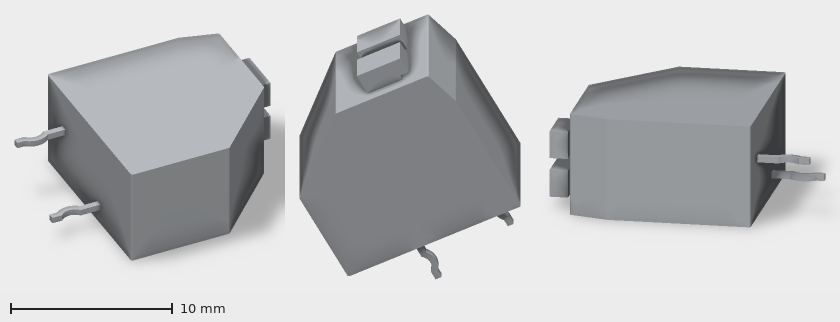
import cadquery as cq
import math

overall_length = 16.3

housing_width = 12.0
housing_depth = 11.49
housing_height = 6.5
left_bevel_x = 0.67
left_bevel_y = 2.48
right_bevel_x = 4.92
right_bevel_y = 4.76
corner_radius = 0.13

row_pitch = 2.5
button_left = 1.86
button_width = 3.0
button_length = 1.5
button_height = 1.73
button_undercut_width = 0.59
button_undercut_length = 0.35
lower_button_z = 1.6

pin_size = 0.4
pin_length = overall_length - housing_depth - button_length
pin_pitch = 5.0
left_pin_x = 2.4
lower_pin_z = 1.27
kink_offset = 0.3
kink_inner_radius = 0.83
kink_outer_radius = kink_inner_radius + pin_size
kink_y = -2.0

overlap = 0.16


def make_housing():
    outline = [
        (0, 0),
        (housing_width, 0),
        (housing_width, housing_depth - right_bevel_y),
        (housing_width - right_bevel_x, housing_depth),
        (left_bevel_x, housing_depth),
        (0, housing_depth - left_bevel_y),
    ]
    prism = cq.Workplane("XY").polyline(outline).close().extrude(housing_height)
    return prism.edges("|Z").fillet(corner_radius)


def make_button(center_z):
    stem_left = button_left + button_undercut_width
    right = button_left + button_width
    root_y = housing_depth - overlap
    lip_y = housing_depth + button_undercut_length
    tip_y = housing_depth + button_length
    outline = [
        (stem_left, root_y),
        (right, root_y),
        (right, tip_y),
        (button_left, tip_y),
        (button_left, lip_y),
        (stem_left, lip_y),
    ]
    bottom_z = center_z - button_height / 2
    return cq.Workplane("XY", (0, 0, bottom_z)).polyline(outline).close().extrude(button_height)


def make_pin(center_x, center_z, bow):
    """Make one pin; bow is +1 for a kink toward +X and -1 for one toward -X."""
    half = pin_size / 2
    inner_x = center_x - bow * half
    outer_x = center_x + bow * half
    center_offset = kink_inner_radius - kink_offset
    inner_half = math.sqrt(kink_inner_radius**2 - center_offset**2)
    outer_half = math.sqrt(kink_outer_radius**2 - (center_offset + pin_size) ** 2)
    inner_apex = (inner_x + bow * kink_offset, kink_y)
    outer_apex = (outer_x + bow * kink_offset, kink_y)
    profile = (
        cq.Workplane("XY", (0, 0, center_z - half))
        .moveTo(inner_x, overlap)
        .lineTo(inner_x, kink_y + inner_half)
        .threePointArc(inner_apex, (inner_x, kink_y - inner_half))
        .lineTo(inner_x, -pin_length)
        .lineTo(outer_x, -pin_length)
        .lineTo(outer_x, kink_y - outer_half)
        .threePointArc(outer_apex, (outer_x, kink_y + outer_half))
        .lineTo(outer_x, overlap)
        .close()
    )
    return profile.extrude(pin_size)


result = make_housing()
for row in range(2):
    result = result.union(make_button(lower_button_z + row * row_pitch))
result = result.union(make_pin(left_pin_x, lower_pin_z + row_pitch, 1))
result = result.union(make_pin(left_pin_x + pin_pitch, lower_pin_z, -1))